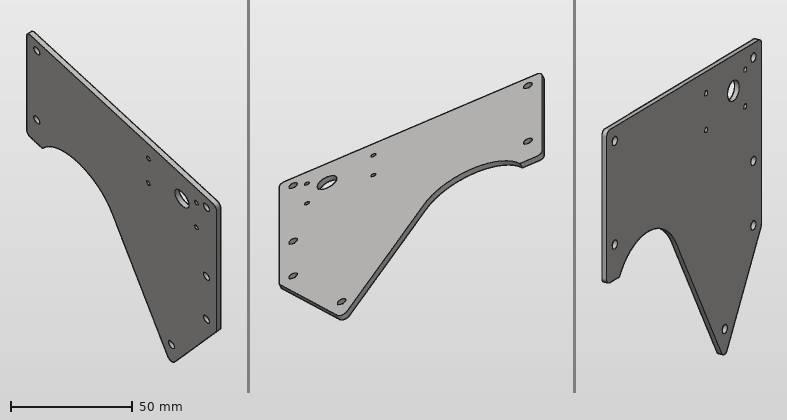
import cadquery as cq
import math

width = 120.6
thickness = 2.4
height = 130.8
corner_radius = 2.5

arm_bottom_z = -2.7
arc_center_x = -28.3
arc_center_z = -15.7
arc_radius = 25.5

flank_angle = math.radians(30)

mount_diameter = 3.9
mount_inset = 6.4
mount_middle_z = 13.0
mount_lower_z = arc_center_z
tip_hole = (31.7, -54.2)
small_diameter = 2.2
small_center = (32.3, 47.6)
small_spacing_x = 30.5
small_spacing_z = 16.4
large_diameter = 9.0
large_center = (38.3, 49.6)

right_x = width / 2
top_z = height / 2
left_x = -right_x
arc_start_x = arc_center_x - math.sqrt(arc_radius**2 - (arm_bottom_z - arc_center_z) ** 2)
arc_top = (arc_center_x, arc_center_z + arc_radius)
arc_end = (
    arc_center_x + arc_radius * math.cos(flank_angle),
    arc_center_z + arc_radius * math.sin(flank_angle),
)
apex_z = -top_z - corner_radius * (1 / math.sin(flank_angle) - 1)
apex_x = arc_end[0] + (arc_end[1] - apex_z) * math.tan(flank_angle)
flank_top_z = apex_z + (right_x - apex_x) / math.tan(flank_angle)


def make_plate():
    """Plate with rounded corners; its left flank leaves the arc tangentially."""
    plate = (
        cq.Workplane("XZ")
        .moveTo(left_x, top_z)
        .lineTo(right_x, top_z)
        .lineTo(right_x, flank_top_z)
        .lineTo(apex_x, apex_z)
        .lineTo(*arc_end)
        .threePointArc(arc_top, (arc_start_x, arm_bottom_z))
        .lineTo(left_x, arm_bottom_z)
        .close()
        .extrude(thickness / 2, both=True)
    )
    rounded_corners = [
        (left_x, top_z),
        (right_x, top_z),
        (left_x, arm_bottom_z),
        (apex_x, apex_z),
    ]
    for x, z in rounded_corners:
        corner = cq.selectors.NearestToPointSelector((x, 0, z))
        plate = plate.edges("|Y").edges(corner).fillet(corner_radius)
    return plate


def drill(plate, centers, diameter):
    """Cut round through holes at the given (x, z) centres."""
    cutters = (
        cq.Workplane("XZ")
        .pushPoints(centers)
        .circle(diameter / 2)
        .extrude(thickness, both=True)
    )
    return plate.cut(cutters)


mount_x = right_x - mount_inset
mount_top_z = top_z - mount_inset
mount_holes = [(side * mount_x, z) for side in (-1, 1) for z in (mount_top_z, mount_middle_z)]
mount_holes += [(mount_x, mount_lower_z), tip_hole]

small_holes = [
    (small_center[0] + i * small_spacing_x / 2, small_center[1] + j * small_spacing_z / 2)
    for i in (-1, 1)
    for j in (-1, 1)
]

result = make_plate()
result = drill(result, mount_holes, mount_diameter)
result = drill(result, small_holes, small_diameter)
result = drill(result, [large_center], large_diameter)